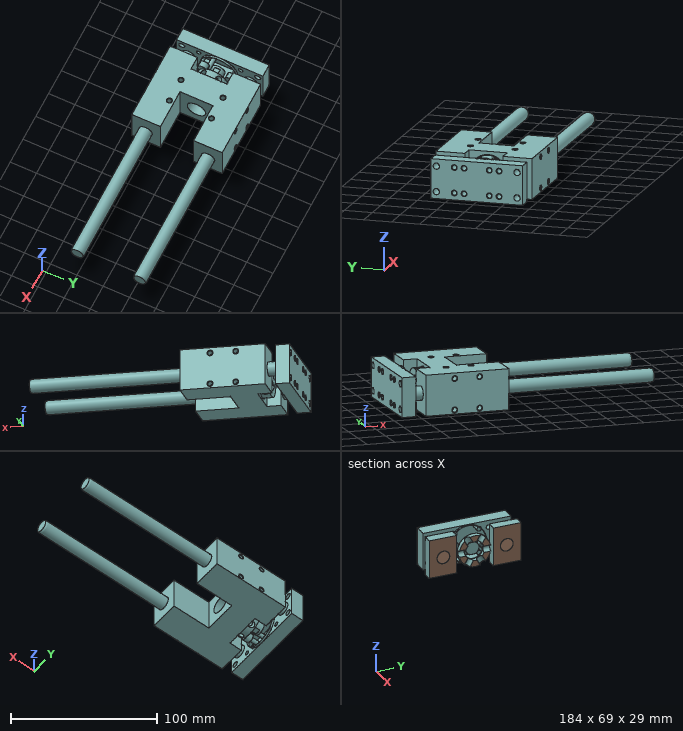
import cadquery as cq
import math

OVERLAP = 0.4

LENGTH = 184.0
ROD_DIAMETER = 10.0
ROD_SPACING = 47.5

PLATE_THICKNESS = 10.0
PLATE_WIDTH = 65.9
PLATE_HEIGHT = 28.2
PLATE_HOLE_PITCH_Z = 18.0
CORNER_HOLE_DIAMETER = 4.5
CORNER_HOLE_PITCH_Y = 57.8
THREAD_HOLE_PITCHES_Y = (18.0, 32.0)

CORE_DIAMETER = 3.3
MOUTH_DIAMETER = 4.0
HOLE_DEPTH = 7.0
DRILL_POINT_ANGLE = 118.0

ROD_TIP_DIAMETER = 9.0
ROD_TIP_LENGTH = 1.7

FLANGE_DIAMETER = 28.0
FLANGE_THICKNESS = 1.7
SCREW_HEAD_DIAMETER = 7.0
SCREW_HEAD_HEIGHT = 4.5
STUB_DIAMETER = 10.0
STUB_LENGTH = 7.2
STUB_FLAT_LENGTH = 5.5
STUB_ACROSS_FLATS = 9.0

HOUSING_START = 16.7
HOUSING_LENGTH = 60.0
HOUSING_WIDTH = 69.0
HOUSING_HEIGHT = 29.0
FRONT_RECESS_DEPTH = 10.0
FRONT_RECESS_WIDTH = 27.2
WEB_THICKNESS = 19.5
REAR_SLOT_WIDTH = 25.0
MOUNT_HOLE_OFFSET = 20.8
MOUNT_HOLE_PITCH_X = 18.0
TOP_HOLE_PITCH_Y = 32.0
SIDE_HOLE_PITCH_Z = 22.0

COLLAR_DIAMETER = 24.0
COLLAR_LENGTH = 6.6
COLLAR_CLEARANCE_DIAMETER = 25.0
COLLAR_CLEARANCE_DEPTH = 1.0
COLLAR_BORE = 14.0
COLLAR_HOLE_DIAMETER = 4.5
COLLAR_HOLE_COUNT = 6
COLLAR_HOLE_START_ANGLE = 30.0

PLATE_BACK = PLATE_THICKNESS
FLANGE_BACK = PLATE_BACK + FLANGE_THICKNESS
BOTTOM = -PLATE_HEIGHT / 2
TOP = BOTTOM + HOUSING_HEIGHT
HOUSING_END = HOUSING_START + HOUSING_LENGTH
RECESS_FLOOR = HOUSING_START + FRONT_RECESS_DEPTH
COLLAR_ROOT = RECESS_FLOOR + COLLAR_CLEARANCE_DEPTH
SLOT_FLOOR = RECESS_FLOOR + WEB_THICKNESS
ROD_PLACES_Y = (-ROD_SPACING / 2, ROD_SPACING / 2)
MOUNT_HOLE_PLACES_X = (
    HOUSING_START + MOUNT_HOLE_OFFSET,
    HOUSING_START + MOUNT_HOLE_OFFSET + MOUNT_HOLE_PITCH_X,
)


def block(start, end, width, bottom, top):
    """Box from X = start to X = end, centred on Y = 0."""
    box = cq.Workplane("XY").box(end - start, width, top - bottom, centered=(False, True, False))
    return box.translate((start, 0, bottom))


def cylinder_x(diameter, start, end, y=0.0, z=0.0):
    """Cylinder along X from X = start to X = end."""
    return cq.Workplane("YZ", origin=(start, y, z)).circle(diameter / 2).extrude(end - start)


def tapped_hole(point, direction):
    """Cutter for a countersunk blind hole with a drill point, going from a surface point along direction."""
    core = CORE_DIAMETER / 2
    mouth = MOUTH_DIAMETER / 2
    point_length = core / math.tan(math.radians(DRILL_POINT_ANGLE / 2))
    profile = (
        cq.Workplane("XZ")
        .polyline([
            (0, 0),
            (mouth, 0),
            (core, mouth - core),
            (core, HOLE_DEPTH),
            (0, HOLE_DEPTH + point_length),
        ])
        .close()
    )
    cutter = profile.revolve(360, (0, 0, 0), (0, 1, 0)).val()
    return cutter.moved(cq.Plane(origin=point, normal=direction).location)


def plate_hole(y, z):
    """Cutter for a tapped hole through the end plate, countersunk on its front face."""
    countersink_depth = (MOUTH_DIAMETER - CORE_DIAMETER) / 2
    countersink = cq.Solid.makeCone(
        MOUTH_DIAMETER / 2, CORE_DIAMETER / 2, countersink_depth, cq.Vector(0, y, z), cq.Vector(1, 0, 0)
    )
    return cylinder_x(CORE_DIAMETER, 0, PLATE_BACK, y, z).union(cq.Workplane(countersink))


def make_end_plate():
    plate = block(0, PLATE_BACK, PLATE_WIDTH, BOTTOM, -BOTTOM)
    for z in (-PLATE_HOLE_PITCH_Z / 2, PLATE_HOLE_PITCH_Z / 2):
        for side in (-1, 1):
            corner_y = side * CORNER_HOLE_PITCH_Y / 2
            plate = plate.cut(cylinder_x(CORNER_HOLE_DIAMETER, 0, PLATE_BACK, corner_y, z))
            for pitch in THREAD_HOLE_PITCHES_Y:
                plate = plate.cut(plate_hole(side * pitch / 2, z))
    return plate


def make_rod(y):
    """Guide rod with a tapered free end."""
    radius = ROD_DIAMETER / 2
    tip_start = LENGTH - ROD_TIP_LENGTH
    profile = (
        cq.Workplane("XY")
        .polyline([
            (PLATE_BACK - OVERLAP, 0),
            (PLATE_BACK - OVERLAP, radius),
            (tip_start, radius),
            (LENGTH, ROD_TIP_DIAMETER / 2),
            (LENGTH, 0),
        ])
        .close()
    )
    return profile.revolve(360, (0, 0, 0), (1, 0, 0)).translate((0, y, 0))


def make_coupling():
    """Round flange with two screw heads and a central stub that has two flats."""
    coupling = cylinder_x(FLANGE_DIAMETER, PLATE_BACK, FLANGE_BACK)
    head_offset = (FLANGE_DIAMETER - SCREW_HEAD_DIAMETER) / 2
    for y in (-head_offset, head_offset):
        head = cylinder_x(SCREW_HEAD_DIAMETER, FLANGE_BACK - OVERLAP, FLANGE_BACK + SCREW_HEAD_HEIGHT, y)
        coupling = coupling.union(head)
    stub_end = FLANGE_BACK + STUB_LENGTH
    flats_start = stub_end - STUB_FLAT_LENGTH
    stub = cylinder_x(STUB_DIAMETER, FLANGE_BACK - OVERLAP, flats_start)
    flat_half = STUB_ACROSS_FLATS / 2
    flatted_end = cylinder_x(STUB_DIAMETER, flats_start, stub_end).intersect(
        block(flats_start, stub_end, STUB_DIAMETER, -flat_half, flat_half)
    )
    return coupling.union(stub).union(flatted_end)


def make_carriage():
    carriage = make_end_plate().union(make_coupling())
    for y in ROD_PLACES_Y:
        carriage = carriage.union(make_rod(y))
    return carriage


def make_collar():
    """Ring rooted in the web, with evenly spaced radial holes that lead into its bore."""
    start = RECESS_FLOOR - COLLAR_LENGTH
    collar = cylinder_x(COLLAR_DIAMETER, start, COLLAR_ROOT + OVERLAP)
    for index in range(COLLAR_HOLE_COUNT):
        angle = math.radians(COLLAR_HOLE_START_ANGLE + index * 360 / COLLAR_HOLE_COUNT)
        direction = cq.Vector(0, math.sin(angle), math.cos(angle))
        centre = cq.Vector(start + COLLAR_LENGTH / 2, 0, 0)
        hole = cq.Solid.makeCylinder(COLLAR_HOLE_DIAMETER / 2, COLLAR_DIAMETER, centre, direction)
        collar = collar.cut(cq.Workplane(hole))
    return collar


def cut_mounting_holes(housing):
    """Blind tapped holes in the top face and in both side faces."""
    half_width = HOUSING_WIDTH / 2
    for x in MOUNT_HOLE_PLACES_X:
        for side in (-1, 1):
            top_point = (x, side * TOP_HOLE_PITCH_Y / 2, TOP)
            housing = housing.cut(cq.Workplane(tapped_hole(top_point, (0, 0, -1))))
            for z in (-SIDE_HOLE_PITCH_Z / 2, SIDE_HOLE_PITCH_Z / 2):
                side_point = (x, side * half_width, z)
                housing = housing.cut(cq.Workplane(tapped_hole(side_point, (0, -side, 0))))
    return housing


def make_housing():
    housing = block(HOUSING_START, HOUSING_END, HOUSING_WIDTH, BOTTOM, TOP)
    housing = housing.cut(block(HOUSING_START, RECESS_FLOOR, FRONT_RECESS_WIDTH, BOTTOM, TOP))
    housing = housing.cut(block(SLOT_FLOOR, HOUSING_END, REAR_SLOT_WIDTH, BOTTOM, TOP))
    housing = housing.cut(cylinder_x(COLLAR_CLEARANCE_DIAMETER, RECESS_FLOOR, COLLAR_ROOT))
    housing = housing.union(make_collar())
    housing = housing.cut(cylinder_x(COLLAR_BORE, HOUSING_START, SLOT_FLOOR))
    for y in ROD_PLACES_Y:
        housing = housing.cut(cylinder_x(ROD_DIAMETER, HOUSING_START, HOUSING_END, y))
    return cut_mounting_holes(housing)


carriage = make_carriage()
housing = make_housing()

result = cq.Compound.makeCompound([carriage.solids().val(), housing.solids().val()])